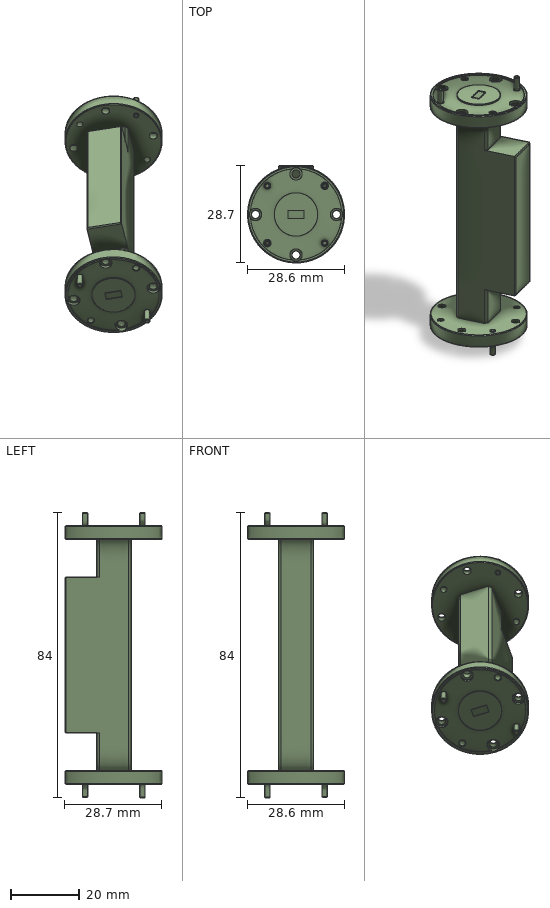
import cadquery as cq
import math

overall_length = 83.95
body_length = 76.1
half_length = body_length / 2

flange_radius = 14.3
flange_thickness = 4.0
flange_chamfer = 0.25
face_recess_depth = 0.4
face_recess_radius = 13.4
boss_radius = 6.4

bolt_circle_radius = 11.9
bolt_hole_radius = 1.2
bolt_counterbore_radius = 3.6 / 2
bolt_counterbore_depth = 1.4
alignment_hole_radius = 0.9
countersink_size = 0.2

bar_width = 10.4
bar_front_y = -bar_width / 2
bar_back_y = 5.0
bar_chamfer = 0.8
block_back_y = 14.35
block_length = 45.8
block_chamfer = 0.3

mouth_width = 4.8
mouth_height = 2.35
mouth_depth = 0.25

pin_radius = 0.8
pin_chamfer = 0.25
pin_projection = 3.9
pin_length = pin_projection + flange_thickness
low_pin_projection = overall_length - body_length - pin_projection

rising_diagonal = (45, 225)
falling_diagonal = (135, 315)
bolt_angles = (0, 90, 180, 270)


def on_bolt_circle(angle):
    """X, Y position on the bolt circle at an angle in degrees."""
    turn = math.radians(angle)
    return (bolt_circle_radius * math.cos(turn), bolt_circle_radius * math.sin(turn))


def upright_cylinder(radius, bottom, top, angle):
    """Cylinder along Z centred on the bolt circle."""
    x, y = on_bolt_circle(angle)
    return cq.Workplane("XY", origin=(x, y, bottom)).circle(radius).extrude(top - bottom)


def countersunk_hole(radius, angle):
    """Cutter for a through hole in the upper flange, countersunk at the recess floor."""
    floor = half_length - face_recess_depth
    hole = upright_cylinder(radius, half_length - flange_thickness, floor, angle)
    x, y = on_bolt_circle(angle)
    countersink = cq.Solid.makeCone(
        radius,
        radius + countersink_size,
        countersink_size,
        pnt=cq.Vector(x, y, floor - countersink_size),
    )
    return hole.union(cq.Workplane(countersink))


def make_flange(pin_angles, alignment_angles):
    """Upper flange, its mating face up, with holes for its own pins and for those of its mate."""
    back = half_length - flange_thickness
    floor = half_length - face_recess_depth
    flange = (
        cq.Workplane("XY", origin=(0, 0, back))
        .circle(flange_radius)
        .extrude(flange_thickness)
        .edges()
        .chamfer(flange_chamfer)
    )
    recess = (
        cq.Workplane("XY", origin=(0, 0, floor))
        .circle(face_recess_radius)
        .circle(boss_radius)
        .extrude(face_recess_depth)
    )
    flange = flange.cut(recess)
    counterbore_floor = half_length - bolt_counterbore_depth
    for angle in bolt_angles:
        flange = flange.cut(upright_cylinder(bolt_hole_radius, back, half_length, angle))
        flange = flange.cut(
            upright_cylinder(bolt_counterbore_radius, counterbore_floor, half_length, angle)
        )
    for angle in pin_angles:
        flange = flange.cut(countersunk_hole(pin_radius, angle))
    for angle in alignment_angles:
        flange = flange.cut(countersunk_hole(alignment_hole_radius, angle))
    mouth = cq.Workplane("XY", origin=(0, 0, half_length - mouth_depth)).rect(mouth_width, mouth_height)
    return flange.cut(mouth.extrude(mouth_depth))


def make_bar():
    """Chamfered bar with the block standing out on its +Y side."""
    bar_length = body_length - 2 * flange_thickness
    bar = (
        cq.Workplane("XY")
        .box(bar_width, bar_back_y - bar_front_y, bar_length)
        .edges("|Z")
        .chamfer(bar_chamfer)
        .translate((0, (bar_back_y + bar_front_y) / 2, 0))
    )
    block_front_y = bar_back_y - bar_chamfer
    block = (
        cq.Workplane("XY")
        .box(bar_width, block_back_y - block_front_y, block_length)
        .faces(">Y")
        .edges()
        .chamfer(block_chamfer)
        .translate((0, (block_back_y + block_front_y) / 2, 0))
    )
    return bar.union(block)


def make_pin(bottom, angle):
    """Dowel pin chamfered at both ends."""
    return upright_cylinder(pin_radius, bottom, bottom + pin_length, angle).edges().chamfer(pin_chamfer)


pins = []
for angle in falling_diagonal:
    pins.append(make_pin(half_length + pin_projection - pin_length, angle))
for angle, projection in zip(rising_diagonal, (pin_projection, low_pin_projection)):
    pins.append(make_pin(-half_length - projection, angle))

upper_flange = make_flange(falling_diagonal, rising_diagonal)
lower_flange = make_flange(rising_diagonal, falling_diagonal).mirror("XY")
waveguide = make_bar().union(upper_flange).union(lower_flange)

result = cq.Compound.makeCompound([waveguide.val(), *[pin.val() for pin in pins]])